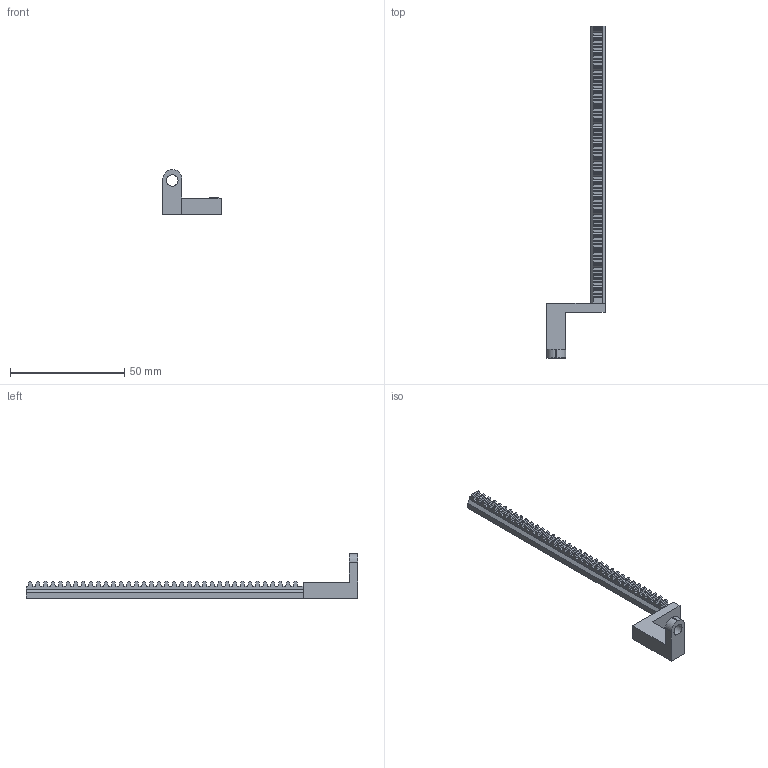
import cadquery as cq

WIDTH = 25.35
LENGTH = 145.0
HEIGHT = 19.6

LUG_WIDTH = 8.15
LUG_THICKNESS = 3.75
LUG_CORNER_RADIUS = 3.9
HOLE_DIAMETER = 5.0
HOLE_HEIGHT = 14.8
ARM_THICKNESS = 4.0
BRACKET_LENGTH = 24.0
BRACKET_HEIGHT = 7.0

RAIL_WIDTH = 6.35
FOOT_HEIGHT = 2.6
RAIL_SHOULDER_TOP = 4.0
TOOTH_FACE_WIDTH = 4.0
RAIL_CENTER_X = WIDTH - RAIL_WIDTH / 2

TOOTH_COUNT = 36
TOOTH_PITCH = 3.31
TOOTH_TIP_Z = 7.4
TOOTH_ROOT_Z = 5.31
TOOTH_ROOT_WIDTH = 2.05
TOOTH_MIDDLE_Z = 6.25
TOOTH_MIDDLE_WIDTH = 1.65
TOOTH_SHOULDER_Z = 7.0
TOOTH_SHOULDER_WIDTH = 1.45
TOOTH_TIP_WIDTH = 0.65
END_TO_FIRST_TOOTH = 1.85


def box(x, y, width, length, height):
    """Block standing on the base plane with its minimum corner at (x, y)."""
    return cq.Workplane("XY").box(width, length, height, centered=False).translate((x, y, 0))


def make_bracket():
    """Beam along Y with a cross arm along X that reaches over to the rack bar."""
    beam = box(0, 0, LUG_WIDTH, BRACKET_LENGTH, BRACKET_HEIGHT)
    arm = box(0, BRACKET_LENGTH - ARM_THICKNESS, WIDTH, ARM_THICKNESS, BRACKET_HEIGHT)
    return beam.union(arm)


def make_lug():
    """Upright plate with rounded top corners and a cross hole."""
    plate = box(0, 0, LUG_WIDTH, LUG_THICKNESS, HEIGHT)
    plate = plate.edges("|Y and >Z").fillet(LUG_CORNER_RADIUS)
    hole = (
        cq.Workplane("XZ")
        .center(LUG_WIDTH / 2, HOLE_HEIGHT)
        .circle(HOLE_DIAMETER / 2)
        .extrude(-LUG_THICKNESS)
    )
    return plate.cut(hole)


def make_rail():
    """Rack bar up to the tooth roots, running from the bracket to the far end."""
    half_foot = RAIL_WIDTH / 2
    half_top = TOOTH_FACE_WIDTH / 2
    section = [
        (-half_foot, 0),
        (half_foot, 0),
        (half_foot, FOOT_HEIGHT),
        (half_top, RAIL_SHOULDER_TOP),
        (half_top, TOOTH_ROOT_Z),
        (-half_top, TOOTH_ROOT_Z),
        (-half_top, RAIL_SHOULDER_TOP),
        (-half_foot, FOOT_HEIGHT),
    ]
    rail = cq.Workplane("XZ").polyline(section).close().extrude(-(LENGTH - BRACKET_LENGTH))
    return rail.translate((RAIL_CENTER_X, BRACKET_LENGTH, 0))


def make_teeth():
    """Row of teeth, each extended down into the rail for a solid joint."""
    half_root = TOOTH_ROOT_WIDTH / 2
    half_middle = TOOTH_MIDDLE_WIDTH / 2
    half_shoulder = TOOTH_SHOULDER_WIDTH / 2
    half_tip = TOOTH_TIP_WIDTH / 2
    profile = [
        (-half_root, RAIL_SHOULDER_TOP),
        (half_root, RAIL_SHOULDER_TOP),
        (half_root, TOOTH_ROOT_Z),
        (half_middle, TOOTH_MIDDLE_Z),
        (half_shoulder, TOOTH_SHOULDER_Z),
        (half_tip, TOOTH_TIP_Z),
        (-half_tip, TOOTH_TIP_Z),
        (-half_shoulder, TOOTH_SHOULDER_Z),
        (-half_middle, TOOTH_MIDDLE_Z),
        (-half_root, TOOTH_ROOT_Z),
    ]
    tooth = cq.Workplane("YZ").polyline(profile).close().extrude(TOOTH_FACE_WIDTH / 2, both=True)
    first_y = LENGTH - END_TO_FIRST_TOOTH
    teeth = cq.Workplane("XY")
    for index in range(TOOTH_COUNT):
        tooth_y = first_y - index * TOOTH_PITCH
        teeth.add(tooth.translate((RAIL_CENTER_X, tooth_y, 0)))
    return teeth.combine()


result = make_bracket().union(make_lug()).union(make_rail()).union(make_teeth()).clean()